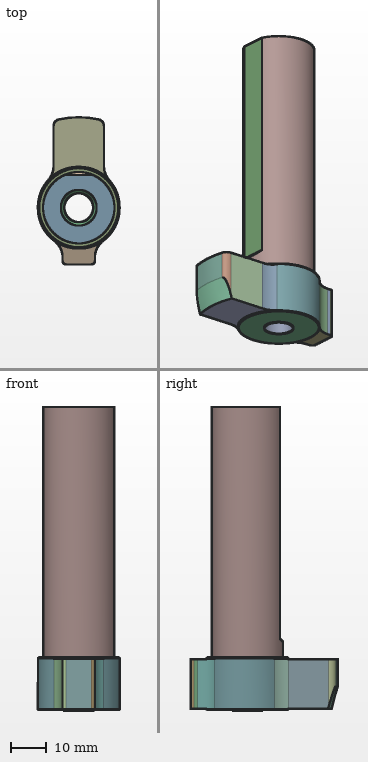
import cadquery as cq
import math

total_height = 85.0
lip_height = 0.25
collar_top = 15.05
wing_bottom = 0.5
wing_top = 14.45

shaft_radius = 20.0 / 2
flat_offset = 9.2
flat_end = 19.3

collar_radius = 11.5
collar_top_chamfer = 0.4
collar_bottom_chamfer = 0.25

wing_reach = 25.3
wing_half_width = 7.1
wing_corner_radius = 2.0
wing_taper_top = 6.9
wing_taper_depth = 1.7
tail_reach = 15.9
tail_half_width = 4.55
tail_corner_radius = 1.0
blend_radius = 5.95

mouth_radius = 10.0 / 2
mouth_depth = 1.5
throat_radius = 8.5 / 2
throat_depth = 2.9
bore_radius = 8.0 / 2
bore_start = 4.25
lip_radius = 8.2 / 2


def make_arm(half_width, reach):
    """Arm along +Y from the axis, with concave blends into the collar radius."""
    center_x = half_width + blend_radius
    center_y = math.sqrt((collar_radius + blend_radius) ** 2 - center_x**2)
    to_collar = collar_radius / (collar_radius + blend_radius)
    touch = (center_x * to_collar, center_y * to_collar)
    middle_angle = (math.pi + math.atan2(-center_y, -center_x) % (2 * math.pi)) / 2
    middle = (
        center_x + blend_radius * math.cos(middle_angle),
        center_y + blend_radius * math.sin(middle_angle),
    )
    return (
        cq.Workplane("XY", origin=(0, 0, wing_bottom))
        .moveTo(0, 0)
        .lineTo(*touch)
        .threePointArc(middle, (half_width, center_y))
        .lineTo(half_width, reach)
        .lineTo(-half_width, reach)
        .lineTo(-half_width, center_y)
        .threePointArc((-middle[0], middle[1]), (-touch[0], touch[1]))
        .close()
        .extrude(wing_top - wing_bottom)
    )


def make_wing():
    """Long arm with a rounded end that tapers conically inward toward its underside."""
    end_round = cq.Workplane("XY").circle(wing_reach).extrude(total_height)
    wing = make_arm(wing_half_width, wing_reach).intersect(end_round)
    wing = wing.edges("|Z").edges(">Y").fillet(wing_corner_radius)
    tapered_end = (
        cq.Workplane("XZ")
        .moveTo(0, wing_bottom)
        .lineTo(wing_reach - wing_taper_depth, wing_bottom)
        .lineTo(wing_reach, wing_taper_top)
        .lineTo(wing_reach, wing_top)
        .lineTo(0, wing_top)
        .close()
        .revolve(360, (0, 0, 0), (0, 1, 0))
    )
    return wing.intersect(tapered_end)


def make_tail():
    """Short arm with a square end and small rounded corners."""
    tail = make_arm(tail_half_width, tail_reach)
    tail = tail.edges("|Z").edges(">Y").fillet(tail_corner_radius)
    return tail.rotate((0, 0, 0), (0, 0, 1), 180)


def make_collar():
    """Disc around the foot of the shaft, chamfered on both rims."""
    collar = cq.Workplane("XY", origin=(0, 0, lip_height)).circle(collar_radius)
    collar = collar.extrude(collar_top - lip_height)
    collar = collar.faces(">Z").chamfer(collar_top_chamfer)
    return collar.faces("<Z").chamfer(collar_bottom_chamfer)


def make_shaft():
    """Round shaft with a flat that runs out to full diameter on a 45 degree ramp."""
    shaft = cq.Workplane("XY", origin=(0, 0, lip_height)).circle(shaft_radius)
    shaft = shaft.extrude(total_height - lip_height)
    flat_cut = (
        cq.Workplane("YZ")
        .moveTo(shaft_radius, flat_end)
        .lineTo(flat_offset, flat_end + shaft_radius - flat_offset)
        .lineTo(flat_offset, total_height)
        .lineTo(shaft_radius, total_height)
        .close()
        .extrude(shaft_radius, both=True)
    )
    return shaft.cut(flat_cut)


def make_bore():
    """Through bore with a wide mouth, a tapered lead-in and a steep throat."""
    return (
        cq.Workplane("XZ")
        .moveTo(0, 0)
        .lineTo(bore_radius, 0)
        .lineTo(bore_radius, total_height - bore_start)
        .lineTo(throat_radius, total_height - throat_depth)
        .lineTo(mouth_radius, total_height - mouth_depth)
        .lineTo(mouth_radius, total_height)
        .lineTo(0, total_height)
        .close()
        .revolve(360, (0, 0, 0), (0, 1, 0))
    )


lip = cq.Workplane("XY").circle(lip_radius).extrude(collar_top)

body = make_collar().union(make_wing()).union(make_tail()).union(make_shaft()).union(lip)
result = body.cut(make_bore())